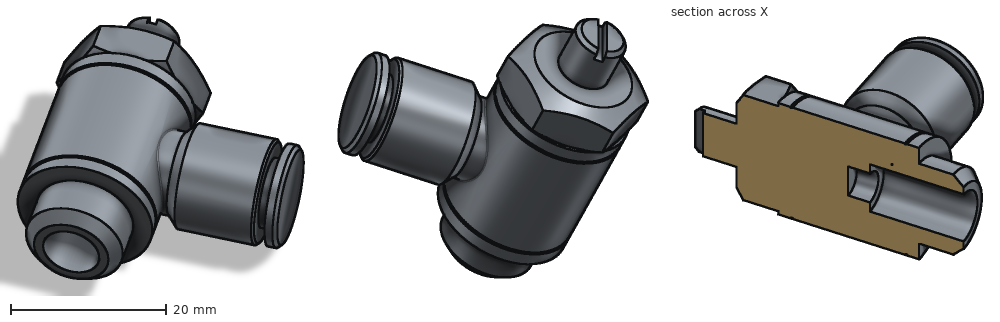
import cadquery as cq
import math


body_radius = 9.0
groove_depth = 0.1
shoulder_y = 6.5
groove_width = 0.25
sleeve_start_y = 8.57
sleeve_end_y = 25.05
nut_start_y = 27.1

thread_radius = 6.48
thread_chamfer = 1.5
bore_radius = 3.75
bore_depth = 13.67
seat_radius = 2.3
seat_depth = 3.15

nut_height = 6.1
nut_end_y = nut_start_y + nut_height
nut_flats = 17.0
nut_corner_radius = nut_flats / math.sqrt(3)
nut_cone_slope = math.sqrt(3)
nut_outer_radius = 6.85
nut_inner_radius = nut_flats / 2

overall_length = 39.5
spindle_radius = 3.5
spindle_chamfer = 0.6
slot_width = 1.2
slot_depth = 1.42

outlet_y = 16.8
neck_radius = 5.55
neck_end_x = 9.6
neck_fillet = 0.2
socket_radius = 7.0
socket_cone_length = socket_radius - neck_radius
socket_end_x = 21.6
socket_chamfer = 0.3
stem_radius = 4.62
flange_start_x = 23.05
flange_radius = 6.8
flange_chamfer = 0.5
root_radius = 4.8
root_start_x = 22.85
outlet_end_x = 24.6


def cylinder_y(radius, start, end):
    """Cylinder on the main axis between two Y positions."""
    return cq.Workplane("XZ", origin=(0, start, 0)).circle(radius).extrude(start - end)


def cylinder_x(radius, start, end):
    """Cylinder on the outlet axis between two X positions."""
    return cq.Workplane("YZ", origin=(start, outlet_y, 0)).circle(radius).extrude(end - start)


def make_nut():
    """Hexagon with corners on the X axis, trimmed by a cone at each end."""
    hexagon = (
        cq.Workplane("XZ", origin=(0, nut_start_y, 0))
        .polygon(6, 2 * nut_corner_radius)
        .extrude(-nut_height)
    )
    inner_rise = (nut_corner_radius - nut_inner_radius) / nut_cone_slope
    outer_drop = (nut_corner_radius - nut_outer_radius) / nut_cone_slope
    envelope = (
        cq.Workplane("XY")
        .moveTo(0, nut_start_y)
        .lineTo(nut_inner_radius, nut_start_y)
        .lineTo(nut_corner_radius, nut_start_y + inner_rise)
        .lineTo(nut_corner_radius, nut_end_y - outer_drop)
        .lineTo(nut_outer_radius, nut_end_y)
        .lineTo(0, nut_end_y)
        .close()
        .revolve(360, (0, 0, 0), (0, 1, 0))
    )
    return hexagon.intersect(envelope)


def make_spindle():
    """Chamfered spindle with a screwdriver slot across its end."""
    spindle = cylinder_y(spindle_radius, nut_start_y, overall_length)
    spindle = spindle.faces(">Y").chamfer(spindle_chamfer)
    slot = cq.Workplane("XY").box(slot_width, 2 * slot_depth, 2 * spindle_radius)
    return spindle.cut(slot.translate((0, overall_length, 0)))


def make_socket():
    """Tube socket with a conical back and a flanged release collar."""
    socket = cylinder_x(socket_radius, neck_end_x, socket_end_x)
    socket = socket.faces("<X").chamfer(socket_cone_length)
    socket = socket.faces(">X").chamfer(socket_chamfer)
    stem = cylinder_x(stem_radius, neck_end_x, outlet_end_x)
    flange = cylinder_x(flange_radius, flange_start_x, outlet_end_x)
    collar = stem.union(flange)
    collar = collar.faces(">X").chamfer(flange_chamfer)
    root = cylinder_x(root_radius, root_start_x, flange_start_x)
    collar = collar.union(root)
    return socket.union(collar)


def make_body():
    """Sleeve with its outlet neck, end rings and threaded end."""
    sleeve = cylinder_y(body_radius, sleeve_start_y, sleeve_end_y)
    body = sleeve.union(cylinder_x(neck_radius, 0, neck_end_x))
    neck_root = cq.selectors.BoxSelector(
        (0, sleeve_start_y, -body_radius),
        (neck_end_x, sleeve_end_y, body_radius),
        boundingbox=True,
    )
    body = body.edges(neck_root).edges("not(%LINE or %CIRCLE)").fillet(neck_fillet)
    thread = cylinder_y(thread_radius, 0, shoulder_y).faces("<Y").chamfer(thread_chamfer)
    core = cylinder_y(body_radius - groove_depth, shoulder_y, nut_start_y)
    front_ring = cylinder_y(body_radius, shoulder_y, sleeve_start_y - groove_width)
    back_ring = cylinder_y(body_radius, sleeve_end_y + groove_width, nut_start_y)
    return body.union(core).union(front_ring).union(back_ring).union(thread)


result = make_body().union(make_nut()).union(make_spindle()).union(make_socket())

result = result.cut(cylinder_y(bore_radius, 0, bore_depth))
result = result.cut(cylinder_y(seat_radius, bore_depth, bore_depth + seat_depth))